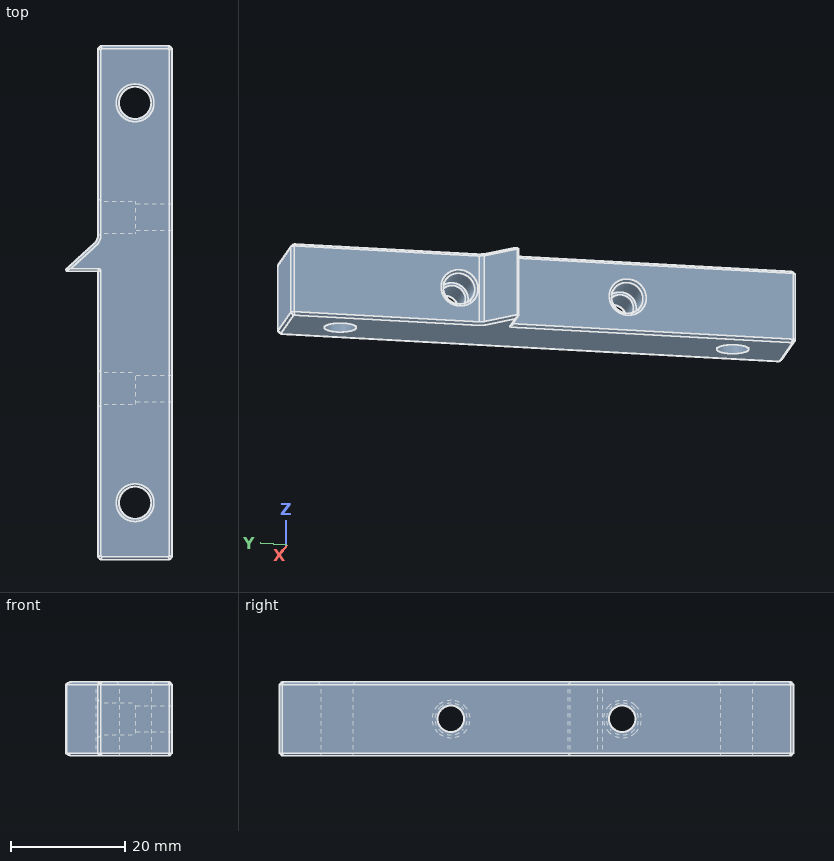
import cadquery as cq

bar_width = 13.0
bar_length = 90.0
bar_height = 13.0
edge_chamfer = 0.5
chamfer_angle = 45.0

tooth_reach = 6.0
tooth_base_y = 5.5
tooth_width = 5.5

end_hole_diameter = 5.6
end_hole_spacing = 70.0

cross_hole_diameter = 4.6
counterbore_diameter = 5.6
counterbore_depth = bar_width / 2
cross_hole_spacing = 30.0

mouth_chamfer = 0.5

side_x = -bar_width / 2
tip_x = side_x - tooth_reach
tooth_top_y = tooth_base_y + tooth_width


def make_body():
    """Bar and tooth as one outline, tapering by the edge chamfer at top and bottom."""
    half_length = bar_length / 2
    outline = [
        (-side_x, -half_length),
        (-side_x, half_length),
        (side_x, half_length),
        (side_x, tooth_top_y),
        (tip_x, tooth_base_y),
        (side_x, tooth_base_y),
        (side_x, -half_length),
    ]
    half_core = bar_height / 2 - edge_chamfer
    core = cq.Workplane("XY").polyline(outline).close().extrude(half_core)
    inner_corner = cq.selectors.NearestToPointSelector((side_x, tooth_base_y, half_core / 2))
    upright_edges = cq.selectors.ParallelDirSelector(cq.Vector(0, 0, 1))
    core = core.edges(upright_edges - inner_corner).chamfer(edge_chamfer)
    top_outline = core.faces(">Z").wires().toPending().workplane()
    upper_half = top_outline.extrude(edge_chamfer, taper=chamfer_angle)
    return upper_half.union(upper_half.mirror("XY"))


def make_mouthed_bore(diameter, depth):
    """Bore running down from a mouth at the origin along -Z, with a chamfered rim."""
    radius = diameter / 2
    profile = [
        (0, 0),
        (radius + mouth_chamfer, 0),
        (radius, -mouth_chamfer),
        (radius, -depth),
        (0, -depth),
    ]
    return cq.Workplane("XZ").polyline(profile).close().revolve(360, (0, 0, 0), (0, 1, 0))


def make_end_hole():
    """Cutter for a hole along Z, entering from the top face."""
    return make_mouthed_bore(end_hole_diameter, bar_height).translate((0, 0, bar_height / 2))


def make_cross_hole():
    """Cutter for a stepped hole along X, entering from the -X face."""
    counterbore = make_mouthed_bore(counterbore_diameter, counterbore_depth)
    through_bore = cq.Workplane("XY").circle(cross_hole_diameter / 2).extrude(-bar_width)
    stepped = counterbore.union(through_bore)
    return stepped.rotate((0, 0, 0), (0, 1, 0), -90).translate((side_x, 0, 0))


result = make_body()
for end in (-1, 1):
    result = result.cut(make_end_hole().translate((0, end * end_hole_spacing / 2, 0)))
    result = result.cut(make_cross_hole().translate((0, end * cross_hole_spacing / 2, 0)))